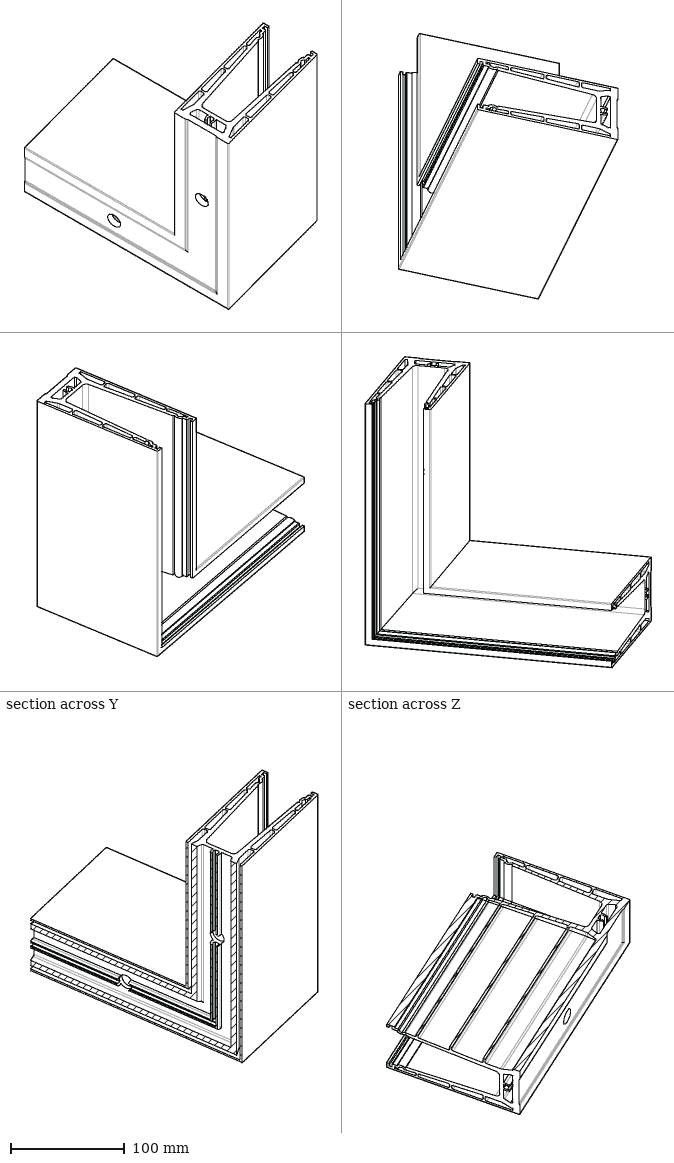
import cadquery as cq


ARM_LENGTH = 225.2
WIDTH = 60.0
DEPTH = 130.0
HALF_WIDTH = WIDTH / 2
CORNER_RADIUS = 1.0

RECESS_DEPTH = 1.0
RECESS_START = 12.5
RECESS_RAMP = 1.8
RECESS_BLEND_RADIUS = 1.8

CHANNEL_FLOOR = 19.8
CHANNEL_FLOOR_RADIUS = 4.0
WALL_AT_FLOOR = 14.0
WALL_TAPER = 1 / 19
WALL_TOP = 110.8

BEAD_START = 111.7
BEAD_END = 119.5
BEAD_FOOT = 7.9
BEAD_CREST = 9.2
NECK_WALL = 7.0

LIP_WALL = 6.3
GROOVE_WALL = 3.2
GROOVE_BOTTOM = 124.8
GROOVE_TOP = 127.7
LIP_BEVEL = 1.0

SKIN = 2.5
CELL_RADIUS = 1.5
UPPER_PARTITION = 3.5
LOWER_PARTITION = 4.5
UPPER_CELL = (68.5, 99.3)
LOWER_CELL = (35.8, 66.5)

CORNER_CELL_BOTTOM = 7.0
CORNER_CELL_TOP = 33.8
CORNER_CELL_WALL = 8.0
CORNER_CELL_BEND = 17.8
CORNER_CELL_TIP = 4.5
CORNER_CELL_BEND_RADIUS = 6.8

MOUTH_CELL_BOTTOM = 101.1
MOUTH_CELL_TOP = 122.0
MOUTH_CELL_NECK = 4.0
POCKET_APEX = (115.0, 7.2)
POCKET_SHOULDER = 5.5
POCKET_HALF_HEIGHT = 2.7
POCKET_STEP = 1.0

CAVITY_BOTTOM = 7.0
CAVITY_BULGE = 9.0
CAVITY_TOP = 16.0
CAVITY_BOTTOM_HALF = 17.8
CAVITY_BULGE_HALF = 18.5
CAVITY_TOP_HALF = 15.8
CAVITY_TOP_RADIUS = 1.8

PORT_BOTTOM = 10.0
PORT_ROOT_HALF = 4.7
PORT_TIP_HALF = 3.8
PORT_TAPER_START = 13.5
PORT_SLOT_HALF = 2.0
PORT_BORE_RADIUS = 2.7
PORT_BORE_CENTRE = 13.7

HOLE_DIAMETER = 14.2
HOLE_FROM_END = 98.5


def channel_wall(depth):
    """Distance from the outer side to the leaning channel wall."""
    return WALL_AT_FLOOR - (depth - CHANNEL_FLOOR) * WALL_TAPER


def profile_plane():
    """Sketch plane whose local axes are (depth, across)."""
    return cq.Workplane("YZ")


def prism(points):
    return profile_plane().polyline(points).close().extrude(ARM_LENGTH)


def round_edges(body, corners, radius):
    """Round the long edges that pass through the given profile corners."""
    for depth, across in corners:
        edge = cq.selectors.NearestToPointSelector((ARM_LENGTH / 2, depth, across))
        body = body.edges("|X").edges(edge).fillet(radius)
    return body


def half_channel():
    """Half of the profile without its hollow cells."""
    recess_end = RECESS_START + RECESS_RAMP
    bead_middle = (BEAD_START + BEAD_END) / 2
    floor_corner = (CHANNEL_FLOOR, WALL_AT_FLOOR)
    body = (
        profile_plane()
        .moveTo(RECESS_DEPTH, HALF_WIDTH)
        .lineTo(RECESS_DEPTH, recess_end)
        .lineTo(0, RECESS_START)
        .lineTo(0, 0)
        .lineTo(DEPTH, 0)
        .lineTo(DEPTH, LIP_WALL)
        .lineTo(GROOVE_TOP, LIP_WALL)
        .lineTo(GROOVE_TOP, GROOVE_WALL)
        .lineTo(GROOVE_BOTTOM, GROOVE_WALL)
        .lineTo(GROOVE_BOTTOM, LIP_WALL)
        .lineTo(GROOVE_BOTTOM - LIP_BEVEL, NECK_WALL)
        .lineTo(BEAD_END, NECK_WALL)
        .lineTo(BEAD_END, BEAD_FOOT)
        .threePointArc((bead_middle, BEAD_CREST), (BEAD_START, BEAD_FOOT))
        .lineTo(WALL_TOP, channel_wall(WALL_TOP))
        .lineTo(*floor_corner)
        .lineTo(CHANNEL_FLOOR, HALF_WIDTH)
        .close()
        .extrude(ARM_LENGTH)
    )
    body = round_edges(body, [(0, 0), (DEPTH, 0)], CORNER_RADIUS)
    body = round_edges(body, [(0, RECESS_START), (RECESS_DEPTH, recess_end)], RECESS_BLEND_RADIUS)
    return round_edges(body, [floor_corner], CHANNEL_FLOOR_RADIUS)


def tapered_cell(bottom, top, partition):
    """Cell whose inner side follows the channel wall at a constant distance."""
    cell = prism(
        [
            (bottom, SKIN),
            (top, SKIN),
            (top, channel_wall(top) - partition),
            (bottom, channel_wall(bottom) - partition),
        ]
    )
    return cell.edges("|X").fillet(CELL_RADIUS)


def corner_cell():
    top_corners = [(CORNER_CELL_TOP, SKIN), (CORNER_CELL_TOP, CORNER_CELL_WALL)]
    bend = (CORNER_CELL_BEND, CORNER_CELL_WALL)
    tip = [(CORNER_CELL_BOTTOM, CORNER_CELL_TIP), (CORNER_CELL_BOTTOM, SKIN)]
    cell = prism(top_corners + [bend] + tip)
    cell = round_edges(cell, top_corners, CELL_RADIUS)
    return round_edges(cell, [bend], CORNER_CELL_BEND_RADIUS)


def mouth_cell():
    inner_side = channel_wall(MOUTH_CELL_BOTTOM) - UPPER_PARTITION
    bottom_corners = [(MOUTH_CELL_BOTTOM, SKIN), (MOUTH_CELL_BOTTOM, inner_side)]
    apex_depth = POCKET_APEX[0]
    pocket_top = apex_depth + POCKET_HALF_HEIGHT
    pocket_bottom = apex_depth - POCKET_HALF_HEIGHT
    cell = prism(
        bottom_corners[:1]
        + [
            (MOUTH_CELL_TOP, SKIN),
            (MOUTH_CELL_TOP, MOUTH_CELL_NECK),
            (pocket_top + POCKET_STEP, MOUTH_CELL_NECK),
            (pocket_top, POCKET_SHOULDER),
            POCKET_APEX,
            (pocket_bottom, POCKET_SHOULDER),
            (pocket_bottom - POCKET_STEP, POCKET_SHOULDER),
        ]
        + bottom_corners[1:]
    )
    return round_edges(cell, bottom_corners, CELL_RADIUS)


def half_web_cavity():
    """Half of the web cavity, leaving the screw port standing."""
    top_corner = (CAVITY_TOP, HALF_WIDTH - CAVITY_TOP_HALF)
    cavity = prism(
        [
            (CAVITY_BOTTOM, HALF_WIDTH),
            (CAVITY_BOTTOM, HALF_WIDTH - CAVITY_BOTTOM_HALF),
            (CAVITY_BULGE, HALF_WIDTH - CAVITY_BULGE_HALF),
            top_corner,
            (CAVITY_TOP, HALF_WIDTH),
        ]
    )
    cavity = round_edges(cavity, [top_corner], CAVITY_TOP_RADIUS)
    port = prism(
        [
            (PORT_BOTTOM, HALF_WIDTH - PORT_SLOT_HALF),
            (PORT_BOTTOM, HALF_WIDTH - PORT_TIP_HALF),
            (PORT_TAPER_START, HALF_WIDTH - PORT_ROOT_HALF),
            (CAVITY_TOP, HALF_WIDTH - PORT_ROOT_HALF),
            (CAVITY_TOP, HALF_WIDTH - PORT_SLOT_HALF),
        ]
    )
    bore = (
        profile_plane()
        .center(PORT_BORE_CENTRE, HALF_WIDTH)
        .circle(PORT_BORE_RADIUS)
        .extrude(ARM_LENGTH)
    )
    return cavity.cut(port.cut(bore))


def straight_arm():
    """Full profile along X, square at both ends."""
    half = half_channel().cut(half_web_cavity()).cut(corner_cell()).cut(mouth_cell())
    half = half.cut(tapered_cell(*LOWER_CELL, LOWER_PARTITION))
    half = half.cut(tapered_cell(*UPPER_CELL, UPPER_PARTITION))
    return half.union(half.mirror("XY", (0, 0, HALF_WIDTH)))


def mitred_arm():
    """Arm along X with its fixing hole, cut at 45 degrees at the corner end."""
    mitre = (
        cq.Workplane("XZ")
        .polyline([(0, 0), (ARM_LENGTH, 0), (ARM_LENGTH - WIDTH, WIDTH), (0, WIDTH)])
        .close()
        .extrude(-DEPTH)
    )
    hole = (
        cq.Workplane("XZ")
        .center(HOLE_FROM_END, HALF_WIDTH)
        .circle(HOLE_DIAMETER / 2)
        .extrude(-CHANNEL_FLOOR)
    )
    return straight_arm().intersect(mitre).cut(hole)


flat_arm = mitred_arm()
upright_arm = flat_arm.mirror(cq.Vector(1, 0, 1), (ARM_LENGTH, 0, 0))
result = flat_arm.union(upright_arm)